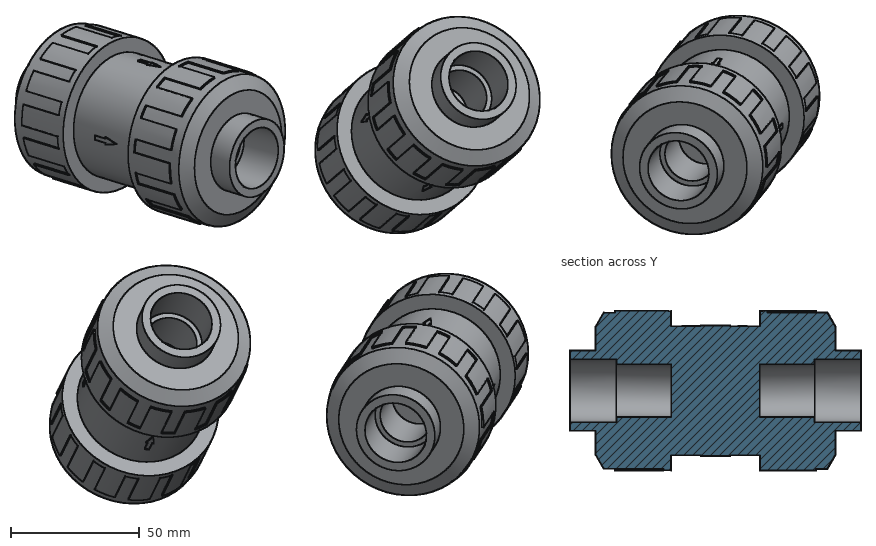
import cadquery as cq


full_turn = 360.0
length = 113.0
half_length = length / 2

body_radius = 25.1

spigot_radius = 15.6
socket_radius = 12.2
socket_depth = 18.1
passage_radius = 10.2

nut_length = 29.4
nut_setback = 10.0
left_nut_start = nut_setback - half_length
right_nut_end = half_length - nut_setback
left_nut_end = left_nut_start + nut_length
right_nut_start = right_nut_end - nut_length
nut_radius = 30.4
grip_diameter = 62.0
grip_radius = grip_diameter / 2
nut_face_radius = 24.9
nut_bevel_length = 3.2
grip_start = 7.6
collar_length = 3.0
collar_start = nut_length - collar_length
pad_count = 14
pad_pitch = full_turn / pad_count
pad_angle = 15.8
slot_angle = pad_pitch - pad_angle
cutter_clearance = 1.1
cutter_radius = grip_radius + cutter_clearance

arrow_count = 4
arrow_pitch = full_turn / arrow_count
arrow_start = -5.8
arrow_head_start = -0.2
arrow_tip = 5.8
arrow_shaft_half_width = 0.9
arrow_head_half_width = 1.6
arrow_height = 0.28


def cylinder(start_x, end_x, radius):
    """Solid cylinder on the X axis."""
    return cq.Workplane("YZ", origin=(start_x, 0, 0)).circle(radius).extrude(end_x - start_x)


def slot_cutter():
    """Sector of a ring about X that starts at +Z and sweeps one slot toward -Y."""
    return (
        cq.Workplane("XZ")
        .moveTo(0, nut_radius)
        .lineTo(collar_start, nut_radius)
        .lineTo(collar_start, cutter_radius)
        .lineTo(0, cutter_radius)
        .close()
        .revolve(slot_angle, (0, 0, 0), (1, 0, 0))
    )


def union_nut():
    """Nut with its bevelled outer face at x = 0 and its collar toward +X."""
    bevelled_end = (
        cq.Workplane("XY")
        .lineTo(0, nut_face_radius)
        .lineTo(nut_bevel_length, nut_radius)
        .lineTo(grip_start, nut_radius)
        .lineTo(grip_start, 0)
        .close()
        .revolve(full_turn, (0, 0, 0), (1, 0, 0))
    )
    grip = cylinder(grip_start, nut_length, grip_radius)
    slot = slot_cutter()
    for index in range(pad_count):
        grip = grip.cut(slot.rotate((0, 0, 0), (1, 0, 0), pad_angle + index * pad_pitch))
    return bevelled_end.union(grip)


def flow_arrow():
    """Arrow on the +Z side, pointing to +X, with a top that follows the body."""
    outline = (
        cq.Workplane("XY")
        .moveTo(arrow_start, -arrow_shaft_half_width)
        .lineTo(arrow_head_start, -arrow_shaft_half_width)
        .lineTo(arrow_head_start, -arrow_head_half_width)
        .lineTo(arrow_tip, 0)
        .lineTo(arrow_head_start, arrow_head_half_width)
        .lineTo(arrow_head_start, arrow_shaft_half_width)
        .lineTo(arrow_start, arrow_shaft_half_width)
        .close()
        .extrude(nut_radius)
    )
    return outline.intersect(cylinder(arrow_start, arrow_tip, body_radius + arrow_height))


result = cylinder(-half_length, half_length, spigot_radius)
result = result.union(cylinder(left_nut_end, right_nut_start, body_radius))

nut = union_nut()
result = result.union(nut.translate((left_nut_start, 0, 0)))
result = result.union(nut.rotate((0, 0, 0), (0, 0, 1), full_turn / 2).translate((right_nut_end, 0, 0)))

arrow = flow_arrow()
for index in range(arrow_count):
    result = result.union(arrow.rotate((0, 0, 0), (1, 0, 0), index * arrow_pitch))

result = result.cut(cylinder(-half_length, socket_depth - half_length, socket_radius))
result = result.cut(cylinder(half_length - socket_depth, half_length, socket_radius))
result = result.cut(cylinder(-half_length, left_nut_end, passage_radius))
result = result.cut(cylinder(right_nut_start, half_length, passage_radius))